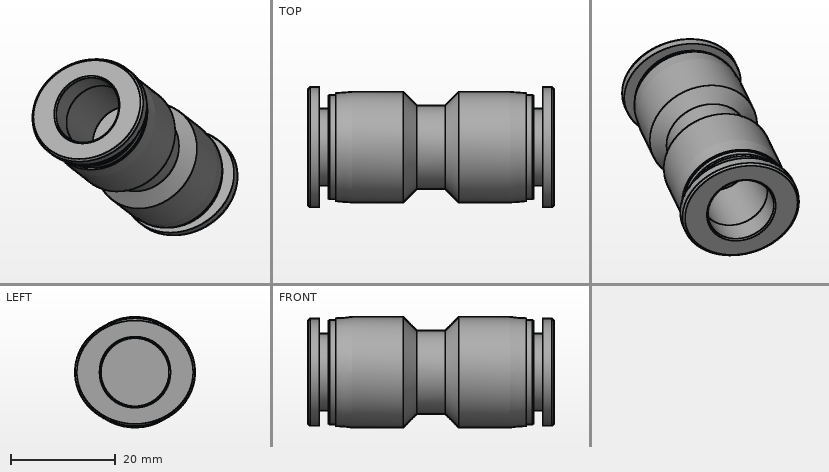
import cadquery as cq


total_length = 47.0
half_length = total_length / 2

flange_width = 23.0
flange_height = 20.55
flange_thickness = 2.2
flange_chamfer = 0.4
sleeve_diameter = 14.8
bore_diameter = 13.0
bore_chamfer = 0.3
collar_length = 5.3

body_diameter = 21.2
taper_end_diameter = 20.7
cap_diameter = 20.0
neck_diameter = 16.0
cap_face_depth = 3.85
cap_chamfer_length = 0.35
cap_chamfer_height = 0.2
cap_step_depth = 5.3
taper_depth = 8.4
shoulder_depth = 18.2
neck_depth = shoulder_depth + (body_diameter - neck_diameter) / 2

socket_depth = shoulder_depth


def x_cylinder(diameter, start_x, length):
    """Solid cylinder on the X axis, running from start_x towards +X."""
    return cq.Workplane("YZ", origin=(start_x, 0, 0)).circle(diameter / 2).extrude(length)


def mirrored_copy(shape):
    """Copy of a shape on the other side of the YZ plane."""
    return shape.mirror("YZ")


def make_housing():
    """Revolved shell, narrow in the middle, with a blind stepped socket in each end."""
    left_profile = [
        (cap_face_depth, cap_diameter / 2 - cap_chamfer_height),
        (cap_face_depth + cap_chamfer_length, cap_diameter / 2),
        (cap_step_depth, cap_diameter / 2),
        (cap_step_depth, taper_end_diameter / 2),
        (taper_depth, body_diameter / 2),
        (shoulder_depth, body_diameter / 2),
        (neck_depth, neck_diameter / 2),
    ]
    left_outline = [(depth - half_length, radius) for depth, radius in left_profile]
    right_outline = [(-x, radius) for x, radius in reversed(left_outline)]
    cap_face_x = half_length - cap_face_depth
    outline = [(-cap_face_x, 0)] + left_outline + right_outline + [(cap_face_x, 0)]
    housing = cq.Workplane("XY").polyline(outline).close().revolve(360, (0, 0, 0), (1, 0, 0))

    tube_socket = x_cylinder(bore_diameter, -half_length, socket_depth)
    collar_seat = x_cylinder(sleeve_diameter, -half_length, collar_length)
    left_socket = tube_socket.union(collar_seat)
    return housing.cut(left_socket).cut(mirrored_copy(left_socket))


def make_left_collar():
    """Oval flange on a round sleeve, bored through for the tube."""
    flange = (
        cq.Workplane("YZ", origin=(-half_length, 0, 0))
        .ellipse(flange_width / 2, flange_height / 2)
        .extrude(flange_thickness)
        .faces("<X")
        .chamfer(flange_chamfer)
    )
    sleeve = x_cylinder(sleeve_diameter, -half_length + flange_thickness, collar_length - flange_thickness)
    bore = x_cylinder(bore_diameter, -half_length, collar_length)
    collar = flange.union(sleeve).cut(bore)
    bore_rim = collar.faces("<X").edges("%CIRCLE")
    return bore_rim.chamfer(bore_chamfer)


housing = make_housing()
left_collar = make_left_collar()
right_collar = mirrored_copy(left_collar)

result = cq.Compound.makeCompound([housing.val(), left_collar.val(), right_collar.val()])